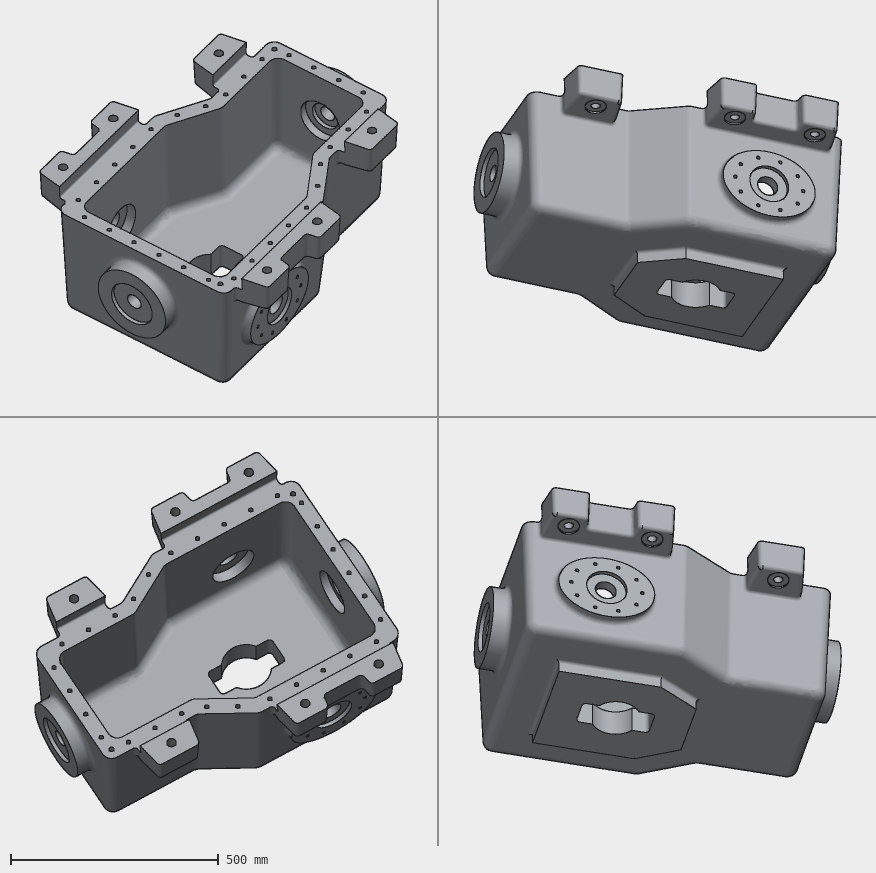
import cadquery as cq
import math

DRAFT = 2.0
SLOPE = 30.0

BODY_LENGTH = 781.0
BODY_DEPTH = 330.0
WIDE_HALF = 250.0
NARROW_HALF = 175.5
WAIST_START_Y = 9.5
SHELL_RADIUS = 25.0
WALL = 40.0
FLOOR = 40.0

LUG_TOP = 39.5
LUG_SPAN = 680.0
LUG_SIDE_ANGLE = 10.0
LUG_BOTTOM_ANGLE = 5.0
LUG_TIP_BOTTOM = -40.0
LUG_RADIUS = 10.0
LUG_BOTTOM_RADIUS = 9.0
LUG_ROOT_RADIUS = 9.0
STEP_RADIUS = 5.0
STEP_SETBACK = 20.0
LUG_HOLE_DIAMETER = 22.0
LUG_HOLE_INSET = 38.0
SPOTFACE_DIAMETER = 52.0
SPOTFACE_LEVEL = -41.0
LUG_BOTTOM_LIMIT = -60.0

FRONT_LUG_Y = -190.0
FRONT_LUG_TIP_HALF = 150.5
FRONT_LUG_HOLE_OFFSET = 103.0
NOTCH_DEPTH = 35.0
NOTCH_MOUTH_HALF = 60.0
REAR_LUG_Y = 243.0
REAR_LUG_TIP = 265.0
REAR_LUG_TIP_HALF = 57.0

RIM_HOLE_DIAMETER = 10.0
RIM_HOLE_DEPTH = 26.0
RIM_HOLE_PITCH = 75.0
WIDE_HOLE_COUNT = 5
NARROW_HOLE_COUNT = 3
END_HOLE_Y = 370.0
END_HOLE_X = (37.0, 110.0)
FRONT_CORNER_HOLE_X = 184.0
WIDE_HOLE_X = 230.5
WIDE_HOLE_FIRST_Y = -330.0
NARROW_HOLE_X = 155.0
NARROW_HOLE_FIRST_Y = 171.0
WAIST_HOLES = ((208.0, 46.0), (170.0, 110.0))
DOWEL_DIAMETER = 12.0
DOWELS = ((-150.5, 365.5), (215.0, -365.0))

BOSS_FILLET = 12.0
RECESS_DEPTH = 10.0

END_BOSS_Z = -139.0
END_BOSS_REACH = 430.0
END_BOSS_DIAMETER = 199.5
END_RECESS_DIAMETER = 120.0
END_BORE_DIAMETER = 40.0
END_SEAT_DIAMETER = 115.0
END_SEAT_DEPTH = 20.0
END_INNER_SEAT_DIAMETER = 75.0
END_INNER_SEAT_DEPTH = 30.0

SIDE_BOSS_Y = -190.0
SIDE_BOSS_Z = -185.0
SIDE_BOSS_REACH = 265.0
SIDE_BOSS_AXES = (119.0, 91.0)
SIDE_RECESS_DIAMETER = 100.0
SIDE_BORE_DIAMETER = 52.0
SIDE_SEAT_DIAMETER = 115.0
SIDE_SEAT_DEPTH = 25.0
SIDE_BOLT_AXES = (88.0, 72.0)
SIDE_BOLT_ANGLES = (33, 71)
SIDE_BOLT_DIAMETER = 8.3
SIDE_BOLT_DEPTH = 13.0

PAD_THICKNESS = 30.0
PAD_HALF = 136.0
PAD_FRONT_Y = -277.0
PAD_SHOULDER_Y = -25.0
PAD_REAR_Y = 76.5
PAD_FILLET = 9.0

OPENING_Y = -104.0
OPENING_DIAMETER = 120.0
OPENING_SLOT = (70.5, 180.0)
OPENING_RADIUS = 10.0

MARGIN = 1.0

HALF_LENGTH = BODY_LENGTH / 2
SLOPE_TAN = math.tan(math.radians(SLOPE))
DRAFT_TAN = math.tan(math.radians(DRAFT))
LUG_SIDE_TAN = math.tan(math.radians(LUG_SIDE_ANGLE))
LUG_BOTTOM_TAN = math.tan(math.radians(LUG_BOTTOM_ANGLE))
CAVITY_DEPTH = BODY_DEPTH - FLOOR
BODY_BOTTOM = -BODY_DEPTH
PAD_BOTTOM = BODY_BOTTOM - PAD_THICKNESS


def mirror_points(half):
    """Close a right-hand half outline (+X) with its mirror image across X = 0."""
    return half + [(-x, y) for x, y in reversed(half)]


def inset_polygon(points, distance):
    """Move every side of a counter-clockwise polygon inward, keeping sharp corners."""
    moved = []
    for i, (x, y) in enumerate(points):
        x_before, y_before = points[i - 1]
        x_after, y_after = points[(i + 1) % len(points)]
        angle_in = math.atan2(y - y_before, x - x_before)
        angle_out = math.atan2(y_after - y, x_after - x)
        middle = (math.sin(angle_in) + math.sin(angle_out), math.cos(angle_in) + math.cos(angle_out))
        reach = distance / (1 + math.cos(angle_out - angle_in))
        moved.append((x - reach * middle[0], y + reach * middle[1]))
    return moved


def drafted_block(outline, top, depth):
    """Prism that starts with the outline at the top level and narrows downward by the draft."""
    lower = inset_polygon(outline, depth * DRAFT_TAN)
    block = cq.Workplane("XY", origin=(0, 0, top)).polyline(outline).close()
    return block.workplane(offset=-depth).polyline(lower).close().loft(ruled=True)


def cylinder_down(diameter, points, top, depth):
    return cq.Workplane("XY", origin=(0, 0, top)).pushPoints(points).circle(diameter / 2).extrude(-depth)


def end_cylinder(diameter, y_outer, y_inner):
    """Cylinder on the axis of the front end boss."""
    plane = cq.Plane(origin=(0, -y_outer, END_BOSS_Z), xDir=(1, 0, 0), normal=(0, 1, 0))
    return cq.Workplane(plane).circle(diameter / 2).extrude(y_outer - y_inner)


def side_workplane(x):
    """Workplane facing inward (-X) on the axis of the right-hand side boss."""
    return cq.Workplane(cq.Plane(origin=(x, SIDE_BOSS_Y, SIDE_BOSS_Z), xDir=(0, 1, 0), normal=(-1, 0, 0)))


def side_cylinder(diameter, x_outer, x_inner):
    return side_workplane(x_outer).circle(diameter / 2).extrude(x_outer - x_inner)


def with_mirror(shape, plane):
    return shape.union(shape.mirror(plane))


HOUSING = mirror_points([
    (WIDE_HALF, -HALF_LENGTH),
    (WIDE_HALF, WAIST_START_Y),
    (NARROW_HALF, WAIST_START_Y + (WIDE_HALF - NARROW_HALF) / SLOPE_TAN),
    (NARROW_HALF, HALF_LENGTH),
])


def round_shell(block):
    """Round the upright edges and the bottom edges of a drafted block."""
    block = block.edges("(not <Z) and (not >Z)").fillet(SHELL_RADIUS)
    return block.faces("<Z").edges().fillet(SHELL_RADIUS)


def make_body():
    return round_shell(drafted_block(HOUSING, 0, BODY_DEPTH))


def make_cavity():
    return round_shell(drafted_block(inset_polygon(HOUSING, WALL), 0, CAVITY_DEPTH))


def make_lug(tip, tip_half, center_y, body_half, notched):
    """Right-hand lug, reaching from inside the body wall out to the tip."""
    root = body_half - WALL / 2
    step = body_half + STEP_SETBACK
    root_half = tip_half + (tip - step) * LUG_SIDE_TAN
    outline = [(root, -root_half), (step, -root_half), (tip, -tip_half)]
    if notched:
        floor_half = NOTCH_MOUTH_HALF - NOTCH_DEPTH * LUG_SIDE_TAN
        notch = tip - NOTCH_DEPTH
        outline += [(tip, -NOTCH_MOUTH_HALF), (notch, -floor_half)]
        outline += [(notch, floor_half), (tip, NOTCH_MOUTH_HALF)]
    outline += [(tip, tip_half), (step, root_half), (root, root_half)]
    outline = [(x, y + center_y) for x, y in outline]

    root_bottom = LUG_TIP_BOTTOM - (tip - root) * LUG_BOTTOM_TAN
    lug = drafted_block(outline, LUG_TOP, LUG_TOP - root_bottom)
    upright = lug.edges("(not <Z) and (not >Z)").vals()
    rounded = [e for e in upright if e.Center().x > step + STEP_RADIUS]
    lug = lug.newObject(rounded).fillet(LUG_RADIUS)

    underside = cq.Workplane("XZ", origin=(0, center_y + 2 * tip_half, 0)).polyline([
        (root, root_bottom), (tip, LUG_TIP_BOTTOM), (tip, root_bottom)
    ]).close().extrude(4 * tip_half)
    lug = lug.cut(underside)
    lug = lug.faces("<Z").edges("not <X").fillet(LUG_BOTTOM_RADIUS)

    above_rim = cq.Workplane("XY").box(step - root, 4 * tip_half, LUG_TOP, centered=(False, True, False))
    above_rim = above_rim.translate((root, center_y, 0))
    lug = lug.cut(above_rim)
    return lug.edges(cq.selectors.NearestToPointSelector((step, center_y, 0))).fillet(STEP_RADIUS)


def add_lug_pair(housing, lug, body_half):
    """Join the lug and its mirror image to the side walls with filleted roots."""
    joined = housing.union(lug).union(lug.mirror("YZ"))
    lug_box = lug.val().BoundingBox()

    def is_root(edge):
        box = edge.BoundingBox()
        across = sorted((abs(box.xmin), abs(box.xmax)))
        on_wall = across[0] > lug_box.xmin + MARGIN and across[1] < body_half + MARGIN
        beside_lug = box.ymin > lug_box.ymin - MARGIN and box.ymax < lug_box.ymax + MARGIN
        below_rim = lug_box.zmin - MARGIN < box.zmin < -MARGIN
        return on_wall and beside_lug and below_rim

    roots = [edge for edge in joined.edges().vals() if is_root(edge)]
    return joined.newObject(roots).fillet(LUG_ROOT_RADIUS)


def lug_holes(tip, center_y, offsets):
    """Bolt holes through the lugs with flat seats cut into the sloping underside."""
    hole_x = tip - LUG_HOLE_INSET
    points = [(side * hole_x, center_y + offset) for side in (-1, 1) for offset in offsets]
    holes = cylinder_down(LUG_HOLE_DIAMETER, points, LUG_TOP, LUG_TOP - LUG_BOTTOM_LIMIT)
    seats = cylinder_down(SPOTFACE_DIAMETER, points, SPOTFACE_LEVEL, SPOTFACE_LEVEL - LUG_BOTTOM_LIMIT)
    return holes.union(seats)


def add_boss_pair(housing, boss, plane, half_size):
    """Join a boss and its mirror image; half_size bounds the boss up to the housing walls."""
    joined = housing.union(boss).union(boss.mirror(plane))
    middle = boss.val().BoundingBox().center
    center = cq.Vector(0, 0, middle.z) if plane == "XZ" else cq.Vector(0, middle.y, middle.z)
    half = cq.Vector(*half_size) + cq.Vector(MARGIN, MARGIN, MARGIN)
    roots = cq.selectors.BoxSelector((center - half).toTuple(), (center + half).toTuple(), boundingbox=True)
    return joined.edges(roots).fillet(BOSS_FILLET)


def add_end_bosses(housing):
    """Round bosses on the front and rear walls."""
    radius = END_BOSS_DIAMETER / 2
    boss = end_cylinder(END_BOSS_DIAMETER, END_BOSS_REACH, HALF_LENGTH - WALL / 2)
    return add_boss_pair(housing, boss, "XZ", (radius, HALF_LENGTH, radius))


def add_side_bosses(housing):
    """Oval bosses on the two side walls."""
    half_y, half_z = SIDE_BOSS_AXES
    length = SIDE_BOSS_REACH - WIDE_HALF + WALL / 2
    boss = side_workplane(SIDE_BOSS_REACH).ellipse(half_y, half_z).extrude(length)
    return add_boss_pair(housing, boss, "YZ", (WIDE_HALF, half_y, half_z))


def add_pad(housing):
    """Flange under the floor, narrowing to the rear like the waist."""
    rear_half = PAD_HALF - (PAD_REAR_Y - PAD_SHOULDER_Y) * SLOPE_TAN
    outline = mirror_points([
        (PAD_HALF, PAD_FRONT_Y),
        (PAD_HALF, PAD_SHOULDER_Y),
        (rear_half, PAD_REAR_Y),
    ])
    pad = cq.Workplane("XY", origin=(0, 0, PAD_BOTTOM)).polyline(outline).close()
    joined = housing.union(pad.extrude(PAD_THICKNESS + FLOOR / 2))
    front_right = (PAD_HALF + MARGIN, PAD_FRONT_Y - MARGIN, BODY_BOTTOM - MARGIN)
    rear_left = (-PAD_HALF - MARGIN, PAD_REAR_Y + MARGIN, BODY_BOTTOM + MARGIN)
    return joined.edges(cq.selectors.BoxSelector(front_right, rear_left)).fillet(PAD_FILLET)


def end_bores():
    """Stepped bore through the front boss, repeated at the rear."""
    inner_wall = HALF_LENGTH - WALL + END_BOSS_Z * DRAFT_TAN
    cavity_side = inner_wall - WALL
    bores = end_cylinder(END_BORE_DIAMETER, END_BOSS_REACH, cavity_side)
    bores = bores.union(end_cylinder(END_RECESS_DIAMETER, END_BOSS_REACH, END_BOSS_REACH - RECESS_DEPTH))
    bores = bores.union(end_cylinder(END_SEAT_DIAMETER, inner_wall + END_SEAT_DEPTH, cavity_side))
    bores = bores.union(end_cylinder(END_INNER_SEAT_DIAMETER, inner_wall + END_INNER_SEAT_DEPTH, cavity_side))
    return with_mirror(bores, "XZ")


def side_bores():
    """Stepped bore and bolt holes in the right-hand oval boss, repeated on the left."""
    inner_wall = WIDE_HALF - WALL + SIDE_BOSS_Z * DRAFT_TAN
    cavity_side = inner_wall - WALL
    bores = side_cylinder(SIDE_BORE_DIAMETER, SIDE_BOSS_REACH, cavity_side)
    bores = bores.union(side_cylinder(SIDE_RECESS_DIAMETER, SIDE_BOSS_REACH, SIDE_BOSS_REACH - RECESS_DEPTH))
    bores = bores.union(side_cylinder(SIDE_SEAT_DIAMETER, inner_wall + SIDE_SEAT_DEPTH, cavity_side))

    half_y, half_z = SIDE_BOLT_AXES
    points = [(-half_y, 0), (half_y, 0)]
    for angle in SIDE_BOLT_ANGLES:
        y = half_y * math.cos(math.radians(angle))
        z = half_z * math.sin(math.radians(angle))
        points += [(y, z), (-y, z), (-y, -z), (y, -z)]
    bolts = side_workplane(SIDE_BOSS_REACH).pushPoints(points)
    bolts = bolts.circle(SIDE_BOLT_DIAMETER / 2).extrude(SIDE_BOLT_DEPTH)
    return with_mirror(bores.union(bolts), "YZ")


def floor_opening():
    """Round opening crossed by a slot, through the floor and the pad."""
    depth = FLOOR + PAD_THICKNESS
    center = (0, OPENING_Y, PAD_BOTTOM)
    slot = cq.Workplane("XY", origin=center).rect(*OPENING_SLOT).extrude(depth)
    slot = slot.edges("|Z").fillet(OPENING_RADIUS)
    return slot.union(cq.Workplane("XY", origin=center).circle(OPENING_DIAMETER / 2).extrude(depth))


def rim_holes():
    """Blind cover screw holes around the rim and two dowel holes."""
    right_half = [(x, end * END_HOLE_Y) for x in END_HOLE_X for end in (-1, 1)]
    right_half.append((FRONT_CORNER_HOLE_X, -END_HOLE_Y))
    right_half += [(WIDE_HOLE_X, WIDE_HOLE_FIRST_Y + i * RIM_HOLE_PITCH) for i in range(WIDE_HOLE_COUNT)]
    right_half += [(NARROW_HOLE_X, NARROW_HOLE_FIRST_Y + i * RIM_HOLE_PITCH) for i in range(NARROW_HOLE_COUNT)]
    right_half += WAIST_HOLES
    screws = cylinder_down(RIM_HOLE_DIAMETER, mirror_points(right_half), 0, RIM_HOLE_DEPTH)
    return screws.union(cylinder_down(DOWEL_DIAMETER, DOWELS, 0, RIM_HOLE_DEPTH))


FRONT_LUG_TIP = LUG_SPAN / 2
front_lug = make_lug(FRONT_LUG_TIP, FRONT_LUG_TIP_HALF, FRONT_LUG_Y, WIDE_HALF, notched=True)
rear_lug = make_lug(REAR_LUG_TIP, REAR_LUG_TIP_HALF, REAR_LUG_Y, NARROW_HALF, notched=False)

result = make_body()
result = add_lug_pair(result, front_lug, WIDE_HALF)
result = add_lug_pair(result, rear_lug, NARROW_HALF)
result = add_end_bosses(result)
result = add_side_bosses(result)
result = add_pad(result)

result = result.cut(make_cavity())
result = result.cut(floor_opening())
result = result.cut(end_bores())
result = result.cut(side_bores())
result = result.cut(rim_holes())
result = result.cut(lug_holes(FRONT_LUG_TIP, FRONT_LUG_Y, (-FRONT_LUG_HOLE_OFFSET, FRONT_LUG_HOLE_OFFSET)))
result = result.cut(lug_holes(REAR_LUG_TIP, REAR_LUG_Y, (0,)))